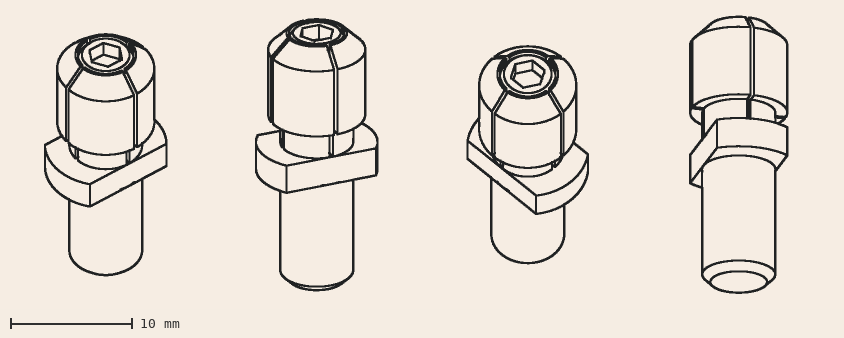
import cadquery as cq

total_height = 22.5
flange_bottom = 10.0
flange_thickness = 2.5
flange_top = flange_bottom + flange_thickness
head_bottom = 15.0

stem_diameter = 6.0
stem_chamfer = 0.68
head_diameter = 7.99
head_chamfer = 1.5

flange_diameter = 10.0
flange_width = stem_diameter

slot_width = 0.32
slot_height = total_height - flange_top

screw_diameter = 4.6
screw_chamfer_height = 0.47
screw_chamfer_width = 0.34
socket_across_flats = 2.5
socket_depth = 1.3


def cylinder(diameter, bottom, top):
    """Upright cylinder on the Z axis between two heights."""
    return cq.Workplane("XY").workplane(offset=bottom).circle(diameter / 2).extrude(top - bottom)


def make_flange():
    """Disc trimmed by two flats that are flush with the stem."""
    disc = cylinder(flange_diameter, flange_bottom, flange_top)
    trim = (
        cq.Workplane("XY")
        .workplane(offset=flange_bottom)
        .rect(flange_width, flange_diameter)
        .extrude(flange_thickness)
    )
    return disc.intersect(trim)


def make_collet():
    """Neck and chamfered head, bored for the screw and split by crossed slots."""
    neck = cylinder(stem_diameter, flange_top, head_bottom)
    head = cylinder(head_diameter, head_bottom, total_height).faces(">Z").chamfer(head_chamfer)
    collet = neck.union(head).cut(cylinder(screw_diameter, flange_top, total_height))
    for angle in (0, 90):
        slot = (
            cq.Workplane("XY")
            .workplane(offset=flange_top)
            .rect(head_diameter, slot_width)
            .extrude(slot_height)
            .rotate((0, 0, 0), (0, 0, 1), angle)
        )
        collet = collet.cut(slot)
    return collet


def make_screw():
    """Chamfered screw with a hexagonal socket whose flats face +X and -X."""
    screw = cylinder(screw_diameter, flange_top, total_height).faces(">Z")
    screw = screw.chamfer(screw_chamfer_height, screw_chamfer_width)
    socket = (
        cq.Workplane("XY")
        .workplane(offset=total_height - socket_depth)
        .polygon(6, socket_across_flats, circumscribed=True)
        .extrude(socket_depth)
    )
    return screw.cut(socket)


stem = cylinder(stem_diameter, 0, flange_bottom).faces("<Z").chamfer(stem_chamfer)
result = stem.union(make_flange()).union(make_screw()).union(make_collet())